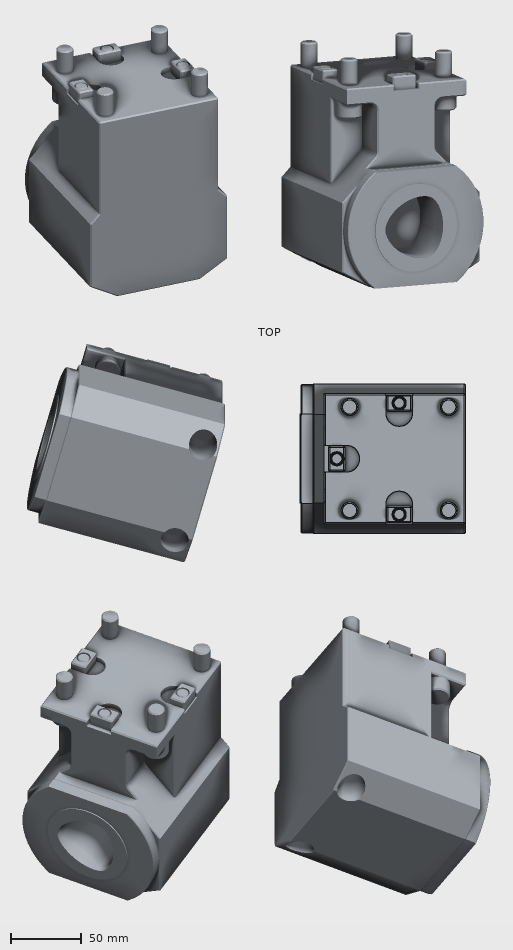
import cadquery as cq
import math

back_x = 117.0
edge = 1.0
overlap = 0.8

body_front_x = 9.3
body_half_width = 52.96
body_top_z = 83.8
body_corner_z = 62.2
body_low_corner_z = 12.0
body_bottom_half = 31.9
body_top_half = body_half_width - (body_top_z - body_corner_z)
body_front_chamfer = 0.6

axis_z = 42.0
gauge_diameter = 63.0
gauge_height = 0.8
flange_radius = 52.4
flange_chamfer = 0.5
flange_bottom_z = 0.3

socket_radius = 22.3
socket_lobe = 1.6
socket_depth = 38.0
socket_slope = 1 / 40
socket_points = 48

column_front_x = 17.1
column_half_width = 46.2
column_top_z = 142.3
column_base_z = 48.0

recess_back_x = 44.9
recess_top_z = 130.3
web_half_width = 22.3
recess_fillet = 6.0

screw_x = (35.1, 105.1)
screw_y = 36.5
screw_diameter = 12.0
screw_tip_z = 160.2
head_diameter = 18.0
head_bottom_z = 118.6
access_bore_diameter = 20.0
access_bore_depth = 48.0

key_width = 18.0
key_length = 11.7
key_top_z = 147.8
key_mid_x = (screw_x[0] + screw_x[1]) / 2
front_key_gap = 3.0
side_key_gap = 1.0
pocket_floor_z = 138.1
pocket_width = 18.9
pocket_flare = 0.5
pocket_length = 25.0
side_pocket_length = 23.2
key_bore = 10.0
key_screw_diameter = 8.5
key_screw_depth = 6.0
key_screw_chamfer = 0.6


def along_x(outline, start_x, end_x):
    """Extrude a closed YZ polygon from start_x to end_x."""
    return cq.Workplane("YZ").workplane(offset=start_x).polyline(outline).close().extrude(end_x - start_x)


def upright_cylinder(x, y, diameter, low_z, high_z):
    plane = cq.Workplane("XY").workplane(offset=low_z)
    return plane.center(x, y).circle(diameter / 2).extrude(high_z - low_z)


def make_body():
    right_half = [
        (body_bottom_half, 0),
        (body_half_width, body_low_corner_z),
        (body_half_width, body_corner_z),
        (body_top_half, body_top_z),
    ]
    left_half = [(-y, z) for y, z in reversed(right_half)]
    body = along_x(right_half + left_half, body_front_x, back_x)
    return body.faces("<X").chamfer(body_front_chamfer).faces(">X").chamfer(edge)


def make_recess(side):
    """Cutter for one recess: web wall, plate underside and a 45 degree floor in line with the body slope."""
    slope_sum = body_half_width + body_corner_z
    outer_y = column_half_width + 2 * edge
    outline = [
        (side * web_half_width, recess_top_z),
        (side * outer_y, recess_top_z),
        (side * outer_y, slope_sum - outer_y),
        (side * web_half_width, slope_sum - web_half_width),
    ]
    recess = along_x(outline, column_front_x - overlap, recess_back_x)
    inner_edges = cq.selectors.BoxSelector(
        (0, side * (web_half_width - overlap), 0),
        (back_x, side * (web_half_width + overlap), column_top_z),
    )
    return recess.edges("|X").edges(inner_edges).fillet(recess_fillet)


def recess_rim():
    """Edges where the recesses meet the front and the sides of the column."""
    reach = column_half_width - overlap
    high_z = recess_top_z + overlap
    front = cq.selectors.BoxSelector(
        (column_front_x - overlap, -reach, column_base_z + overlap), (column_front_x + overlap, reach, high_z))
    left, right = [
        cq.selectors.BoxSelector(
            (column_front_x + overlap, side * (column_half_width - overlap), column_base_z + overlap),
            (recess_back_x + overlap, side * (column_half_width + overlap), high_z))
        for side in (-1, 1)
    ]
    return front + left + right


def make_column():
    column = cq.Workplane("XY").box(
        back_x - column_front_x,
        2 * column_half_width,
        column_top_z - column_base_z,
        centered=(False, True, False),
    ).translate((column_front_x, 0, column_base_z))
    column = column.edges(">X or >Z").chamfer(edge)
    for side in (-1, 1):
        column = column.cut(make_recess(side))
    return column.edges(recess_rim()).chamfer(edge)


def make_pocket(length):
    """Round-ended pocket running along +X from the origin, flared where it opens."""
    radius = pocket_width / 2
    height = column_top_z - pocket_floor_z + overlap
    straight = length - radius
    slot = (
        cq.Workplane("XY").moveTo(-overlap, -radius).lineTo(straight, -radius)
        .threePointArc((length, 0), (straight, radius)).lineTo(-overlap, radius).close().extrude(height)
    )
    outer = radius + pocket_flare + overlap
    mouth = [(-overlap, outer), (pocket_flare, radius), (pocket_flare, -radius), (-overlap, -outer)]
    return slot.union(cq.Workplane("XY").polyline(mouth).close().extrude(height))


def make_key(gap):
    """Key block standing on the pocket floor, with its screw head flush in the top."""
    height = key_top_z - pocket_floor_z
    key = cq.Workplane("XY").box(key_length, key_width, height + overlap, centered=(False, True, False))
    key = key.edges("|Z or >Z").chamfer(edge)
    top = cq.Workplane("XY").workplane(offset=height + overlap).center(key_length / 2, 0)
    bore = top.circle(key_bore / 2).extrude(-key_screw_depth)
    screw = top.circle(key_screw_diameter / 2).extrude(-key_screw_depth).faces(">Z").chamfer(key_screw_chamfer)
    return key.cut(bore.cut(screw)).translate((gap, 0, -overlap))


def add_keys(part):
    places = [
        ((column_front_x, 0), 0, pocket_length, front_key_gap),
        ((key_mid_x, -column_half_width), 90, side_pocket_length, side_key_gap),
        ((key_mid_x, column_half_width), -90, side_pocket_length, side_key_gap),
    ]
    for (x, y), angle, length, gap in places:
        pocket = make_pocket(length).rotate((0, 0, 0), (0, 0, 1), angle)
        key = make_key(gap).rotate((0, 0, 0), (0, 0, 1), angle)
        part = part.cut(pocket.translate((x, y, pocket_floor_z)))
        part = part.union(key.translate((x, y, pocket_floor_z)))
    return part


def add_nose(part):
    flange = (
        cq.Workplane("YZ").workplane(offset=gauge_height).center(0, axis_z).circle(flange_radius)
        .extrude(body_front_x - gauge_height).faces("<X").chamfer(flange_chamfer)
    )
    band = cq.Workplane("XY").box(
        back_x, 2 * body_half_width, body_top_z - flange_bottom_z, centered=(False, True, False)
    ).translate((0, 0, flange_bottom_z))
    gauge = cq.Workplane("YZ").center(0, axis_z).circle(gauge_diameter / 2).extrude(gauge_height + overlap)
    return part.union(flange.intersect(band)).union(gauge)


def lobe_outline(radius):
    """Constant-width three-lobed curve: tangent distance radius + lobe * cos(3t), one lobe toward +Y."""
    points = []
    for i in range(socket_points):
        t = 2 * math.pi * i / socket_points
        reach = radius + socket_lobe * math.cos(3 * t)
        swing = -3 * socket_lobe * math.sin(3 * t)
        points.append((
            reach * math.cos(t) - swing * math.sin(t),
            reach * math.sin(t) + swing * math.cos(t),
        ))
    return points


def make_socket():
    small_radius = socket_radius - socket_depth * socket_slope
    return (
        cq.Workplane("YZ").center(0, axis_z).spline(lobe_outline(socket_radius), periodic=True).close()
        .workplane(offset=socket_depth).spline(lobe_outline(small_radius), periodic=True).close()
        .loft(ruled=True)
    )


def add_screws(part):
    front_x, rear_x = screw_x
    for y in (-screw_y, screw_y):
        part = part.cut(upright_cylinder(rear_x, y, access_bore_diameter, 0, access_bore_depth))
        head = upright_cylinder(front_x, y, head_diameter, head_bottom_z, recess_top_z + overlap)
        part = part.union(head.faces("<Z").chamfer(edge))
        for x in screw_x:
            shank = upright_cylinder(x, y, screw_diameter, recess_top_z, screw_tip_z)
            part = part.union(shank.faces(">Z").chamfer(edge))
    return part


solid = make_body().union(make_column())
solid = add_nose(solid).cut(make_socket())
solid = add_keys(solid)
result = add_screws(solid)